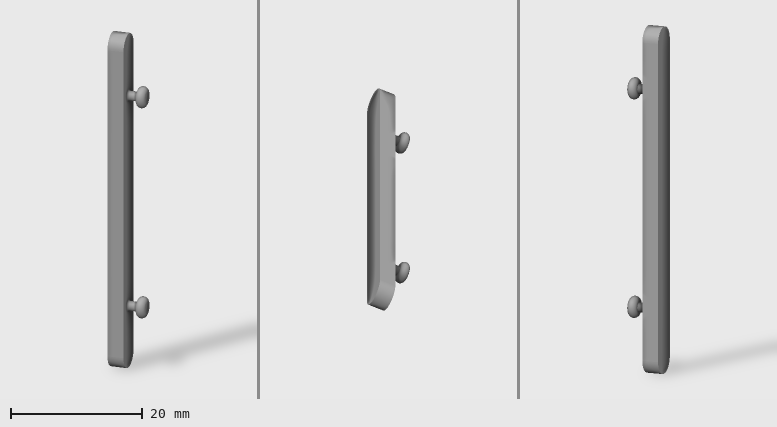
import cadquery as cq

bar_length = 54.0
bar_width = 4.5
bar_thickness = 2.6

knob_spacing = 34.0
knob_length = 3.0
neck_diameter = 1.5
neck_fillet = 0.25
head_diameter = 3.4
head_thickness = 1.5

neck_radius = neck_diameter / 2
head_rim_radius = head_thickness / 2
head_flat_radius = head_diameter / 2 - head_rim_radius
head_start = knob_length - head_thickness


def make_bar():
    """Slot-shaped strip standing along Z, with its back face on X = 0."""
    return cq.Workplane("YZ").slot2D(bar_length, bar_width, 90).extrude(bar_thickness)


def make_knob(height):
    """Headed pin along +X: flared root, straight neck and a head with a full-round rim."""
    root_radius = neck_radius + neck_fillet
    flare_reach = neck_fillet / 2**0.5
    profile = (
        cq.Workplane("XY", origin=(bar_thickness, 0, height))
        .lineTo(0, root_radius)
        .threePointArc(
            (neck_fillet - flare_reach, root_radius - flare_reach),
            (neck_fillet, neck_radius),
        )
        .lineTo(head_start, neck_radius)
        .lineTo(head_start, head_flat_radius)
        .threePointArc(
            (head_start + head_rim_radius, head_diameter / 2),
            (knob_length, head_flat_radius),
        )
        .lineTo(knob_length, 0)
        .close()
    )
    return profile.revolve(360, (0, 0, 0), (1, 0, 0))


result = make_bar()
for side in (-1, 1):
    result = result.union(make_knob(side * knob_spacing / 2))